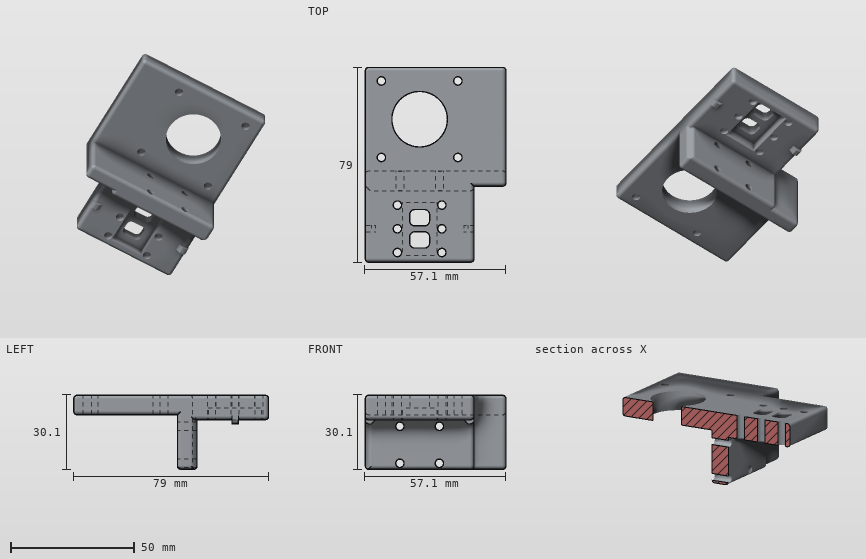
import cadquery as cq
import math

width = 57.1
length = 79.05
height = 30.1

front_width = 44.1
corner_cut_y = 30.8
front_thickness = 10.0
rear_thickness = 8.0

wall_front_y = 29.0
wall_thickness = 8.0
wall_rear_y = wall_front_y + wall_thickness
wall_bevel = 2.0

edge_radius = 1.5

axis_x = front_width / 2
screw_diameter = 3.3

motor_y = 58.0
motor_screw_pitch = 31.0
motor_bore_diameter = 22.4

connector_y = 13.6
connector_screw_pitch_x = 18.0
connector_screw_pitch_y = 9.6

window_length = 8.0
window_width = 6.5
window_pitch = 9.0
window_corner_radius = 2.0

pocket_margin = 3.0
pocket_roof_z = -5.2
pocket_size_x = window_length + 2 * pocket_margin
pocket_size_y = window_pitch + window_width + 2 * pocket_margin

wall_screw_pitch_x = 16.0
wall_screw_pitch_z = 15.0
wall_screw_top_z = -12.6

lug_thickness = 2.6
lug_drop = 1.6
lug_foot_end = 2.5
lug_root_z = edge_radius - front_thickness


def bracket_blank():
    """T-shaped side profile run across the width, less the front right corner."""
    blank = (
        cq.Workplane("YZ")
        .polyline(
            [
                (0, 0),
                (length, 0),
                (length, -rear_thickness),
                (wall_rear_y, -rear_thickness),
                (wall_rear_y, -height),
                (wall_front_y, -height),
                (wall_front_y, -front_thickness),
                (0, -front_thickness),
            ]
        )
        .close()
        .extrude(width)
    )
    corner = cq.Workplane("XY").box(
        width - front_width, corner_cut_y, height, centered=False
    )
    return blank.cut(corner.translate((front_width, 0, -height)))


def round_outer_edges(body):
    """Round every edge except the ones in inside corners."""
    reach = 0.1
    rear_inside_corner = cq.selectors.BoxSelector(
        (0, wall_rear_y - reach, -rear_thickness - reach),
        (width, wall_rear_y + reach, -rear_thickness + reach),
    )
    front_inside_corner = cq.selectors.BoxSelector(
        (reach, wall_front_y - reach, -front_thickness - reach),
        (front_width - reach, wall_front_y + reach, -front_thickness + reach),
    )
    cut_inside_corner = cq.selectors.BoxSelector(
        (front_width - reach, corner_cut_y - reach, -height),
        (front_width + reach, corner_cut_y + reach, 0),
    )
    inside_corners = rear_inside_corner + front_inside_corner + cut_inside_corner
    bevelled_edge = cq.NearestToPointSelector((0, wall_front_y, -(height + front_thickness) / 2))
    every_edge = cq.selectors.BoxSelector(
        (-reach, -reach, -height - reach),
        (width + reach, length + reach, reach),
    )
    return body.edges(every_edge - inside_corners - bevelled_edge).fillet(edge_radius)


def bevel_wall(body):
    """Bevel the front left upright edge of the wall, with both sides of the bevel rounded."""
    bevel_angle = math.radians(45)
    tangent_length = edge_radius * math.tan(bevel_angle / 2)
    along_bevel = tangent_length * math.sin(bevel_angle)
    face_end = wall_bevel + tangent_length
    bevel_far = wall_bevel - along_bevel
    corner = (
        cq.Workplane("XY", origin=(0, wall_front_y, -height))
        .lineTo(face_end, 0)
        .radiusArc((bevel_far, along_bevel), edge_radius)
        .lineTo(along_bevel, bevel_far)
        .radiusArc((0, face_end), edge_radius)
        .close()
        .extrude(height - front_thickness + edge_radius)
    )
    plate_edge = (
        cq.Workplane("XY", origin=(0, wall_front_y, -front_thickness))
        .box(face_end, face_end, front_thickness, centered=False)
        .edges("|Y and <X and <Z")
        .fillet(edge_radius)
    )
    return body.cut(corner.cut(plate_edge))


def left_lug():
    """Lug flush with the left side: rounded outside, sloping inside."""
    foot_z = -front_thickness - lug_drop
    root_end = lug_foot_end + lug_drop + edge_radius
    return (
        cq.Workplane("XZ")
        .moveTo(0, lug_root_z)
        .lineTo(0, foot_z + edge_radius)
        .radiusArc((edge_radius, foot_z), -edge_radius)
        .lineTo(lug_foot_end, foot_z)
        .lineTo(root_end, lug_root_z)
        .close()
        .extrude(lug_thickness / 2, both=True)
        .translate((0, connector_y, 0))
    )


def plate_holes():
    """Motor bore and screws, connector screws and the two connector windows."""
    plane = cq.Workplane("XY")
    bore = plane.center(axis_x, motor_y).circle(motor_bore_diameter / 2).extrude(-height)
    motor_screws = (
        plane.center(axis_x, motor_y)
        .rarray(motor_screw_pitch, motor_screw_pitch, 2, 2)
        .circle(screw_diameter / 2)
        .extrude(-height)
    )
    connector_screws = (
        plane.center(axis_x, connector_y)
        .rarray(connector_screw_pitch_x, connector_screw_pitch_y, 2, 3)
        .circle(screw_diameter / 2)
        .extrude(-height)
    )
    windows = (
        plane.center(axis_x, connector_y)
        .rarray(1, window_pitch, 1, 2)
        .rect(window_length, window_width)
        .extrude(-height)
        .edges("|Z")
        .fillet(window_corner_radius)
    )
    return bore.union(motor_screws).union(connector_screws).union(windows)


def connector_pocket():
    """Rectangular pocket behind the windows, open at the underside of the plate."""
    return (
        cq.Workplane("XY", origin=(axis_x, connector_y, pocket_roof_z))
        .rect(pocket_size_x, pocket_size_y)
        .extrude(-height)
    )


def wall_holes():
    """Four screw holes through the wall."""
    return (
        cq.Workplane("XZ", origin=(axis_x, 0, wall_screw_top_z - wall_screw_pitch_z / 2))
        .rarray(wall_screw_pitch_x, wall_screw_pitch_z, 2, 2)
        .circle(screw_diameter / 2)
        .extrude(-length)
    )


bracket = bevel_wall(round_outer_edges(bracket_blank()))
lug = left_lug()
opposite_lug = lug.mirror("YZ", (axis_x, 0, 0))
bracket = bracket.union(lug).union(opposite_lug)

result = bracket.cut(plate_holes()).cut(connector_pocket()).cut(wall_holes())